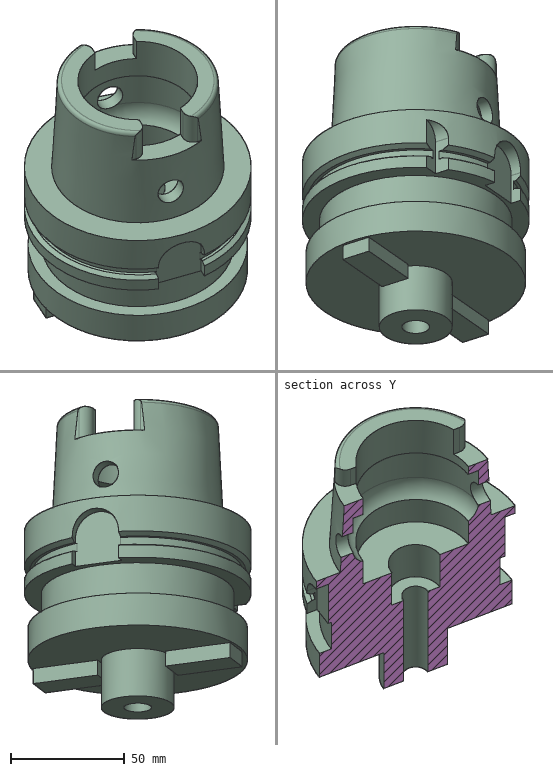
import cadquery as cq
import math

total_height = 132.0
shoulder_z = 82.0
groove_top_z = 65.3
groove_upper_edge_z = 63.8
groove_lower_edge_z = 59.9
groove_bottom_z = 58.9
flange_bottom_z = 53.0
disc_top_z = 37.0
disc_bottom_z = 22.0

flange_radius = 50.0
groove_mouth_radius = 47.7
groove_floor_radius = 46.2
neck_radius = 42.5
disc_radius = 48.5
spigot_radius = 16.1

taper_base_radius = 38.0
taper_slope = 0.05
rim_fillet = 2.0
bore_radius = 26.4
bore_depth = 20.0
undercut_radius = 31.4
undercut_depth = 40.0
undercut_blend_radius = 10.0
cavity_depth = 62.5

coolant_hole_radius = 6.1
thread_hole_radius = 12.0
thread_hole_depth = 19.8

keyway_width = 19.8
keyway_shoulder_x = 32.2
keyway_corner_radius = 4.9
shallow_keyway_depth = 10.0
deep_keyway_depth = 15.0

cross_hole_radius = 6.1
cross_hole_z = 97.0

arch_top_z = 77.1
left_slot_width = 20.3
left_slot_floor_x = 44.0
right_slot_width = 22.0
right_slot_floor_x = 45.0
notch_width = 16.4
notch_inner_y = 31.5
notch_floor_x = 32.0

key_width = 13.9
key_height = 7.0
key_inner_y = 16.2
key_outer_y = 47.0


def revolve_about_z(outline):
    return outline.revolve(360, (0, 0), (0, 1))


def make_body():
    taper_top_radius = taper_base_radius - taper_slope * (total_height - shoulder_z)
    profile = [
        (0, 0),
        (spigot_radius, 0),
        (spigot_radius, disc_bottom_z),
        (disc_radius, disc_bottom_z),
        (disc_radius, disc_top_z),
        (neck_radius, disc_top_z),
        (neck_radius, flange_bottom_z),
        (flange_radius, flange_bottom_z),
        (flange_radius, groove_bottom_z),
        (groove_mouth_radius, groove_lower_edge_z),
        (groove_floor_radius, groove_lower_edge_z),
        (groove_floor_radius, groove_upper_edge_z),
        (groove_mouth_radius, groove_upper_edge_z),
        (flange_radius, groove_top_z),
        (flange_radius, shoulder_z),
        (taper_base_radius, shoulder_z),
        (taper_top_radius, total_height),
        (0, total_height),
    ]
    body = revolve_about_z(cq.Workplane("XZ").polyline(profile).close())
    return body.faces(">Z").edges().fillet(rim_fillet)


def make_cavity():
    """Stepped bore: mouth, wider undercut, arc back in to the bore, flat floor, coolant holes."""
    lip_z = total_height - bore_depth
    blend_top_z = total_height - undercut_depth
    floor_z = total_height - cavity_depth
    thread_bottom_z = floor_z - thread_hole_depth

    blend_center_r = undercut_radius - undercut_blend_radius
    blend_angle = math.acos((bore_radius - blend_center_r) / undercut_blend_radius)

    def blend_point(angle):
        return (
            blend_center_r + undercut_blend_radius * math.cos(angle),
            blend_top_z - undercut_blend_radius * math.sin(angle),
        )

    outline = (
        cq.Workplane("XZ")
        .lineTo(coolant_hole_radius, 0)
        .lineTo(coolant_hole_radius, thread_bottom_z)
        .lineTo(thread_hole_radius, thread_bottom_z)
        .lineTo(thread_hole_radius, floor_z)
        .lineTo(bore_radius, floor_z)
        .lineTo(*blend_point(blend_angle))
        .threePointArc(blend_point(blend_angle / 2), blend_point(0))
        .lineTo(undercut_radius, lip_z)
        .lineTo(bore_radius, lip_z)
        .lineTo(bore_radius, total_height)
        .lineTo(0, total_height)
        .close()
    )
    return revolve_about_z(outline)


def make_keyway(side, depth):
    """Rim cut on one side: a straight slot that flares round its corners to the full width."""
    half_width = keyway_width / 2
    outer_x = side * flange_radius
    shoulder_x = side * keyway_shoulder_x
    arc_start_x = side * (keyway_shoulder_x - keyway_corner_radius)
    arc_end_y = half_width + keyway_corner_radius
    arc_inset = keyway_corner_radius * (1 - math.sqrt(0.5))
    arc_mid_x = side * (keyway_shoulder_x - arc_inset)
    arc_mid_y = half_width + arc_inset
    return (
        cq.Workplane("XY")
        .workplane(offset=total_height - depth)
        .moveTo(0, -half_width)
        .lineTo(arc_start_x, -half_width)
        .threePointArc((arc_mid_x, -arc_mid_y), (shoulder_x, -arc_end_y))
        .lineTo(shoulder_x, -flange_radius)
        .lineTo(outer_x, -flange_radius)
        .lineTo(outer_x, flange_radius)
        .lineTo(shoulder_x, flange_radius)
        .lineTo(shoulder_x, arc_end_y)
        .threePointArc((arc_mid_x, arc_mid_y), (arc_start_x, half_width))
        .lineTo(0, half_width)
        .close()
        .extrude(depth)
    )


def make_arched_slot(side, floor_x, center_y, width):
    """Round-topped slot, open at the flange underside, from its flat floor outwards along X."""
    radius = width / 2
    spring_z = arch_top_z - radius
    return (
        cq.Workplane("YZ")
        .workplane(offset=side * floor_x)
        .moveTo(center_y - radius, flange_bottom_z)
        .lineTo(center_y - radius, spring_z)
        .threePointArc((center_y, arch_top_z), (center_y + radius, spring_z))
        .lineTo(center_y + radius, flange_bottom_z)
        .close()
        .extrude(side * (flange_radius - floor_x))
    )


def make_drive_key(side):
    key_length = key_outer_y - key_inner_y
    key_center_y = side * (key_outer_y + key_inner_y) / 2
    return (
        cq.Workplane("XY")
        .workplane(offset=disc_bottom_z - key_height)
        .center(0, key_center_y)
        .rect(key_width, key_length)
        .extrude(key_height)
    )


result = make_body().cut(make_cavity())

result = result.cut(make_keyway(-1, shallow_keyway_depth))
result = result.cut(make_keyway(1, deep_keyway_depth))

cross_hole = (
    cq.Workplane("YZ")
    .center(0, cross_hole_z)
    .circle(cross_hole_radius)
    .extrude(flange_radius, both=True)
)
result = result.cut(cross_hole)

result = result.cut(make_arched_slot(-1, left_slot_floor_x, 0, left_slot_width))
result = result.cut(make_arched_slot(1, right_slot_floor_x, 0, right_slot_width))
notch_center_y = notch_inner_y + notch_width / 2
result = result.cut(make_arched_slot(-1, notch_floor_x, notch_center_y, notch_width))

for key_side in (-1, 1):
    result = result.union(make_drive_key(key_side))